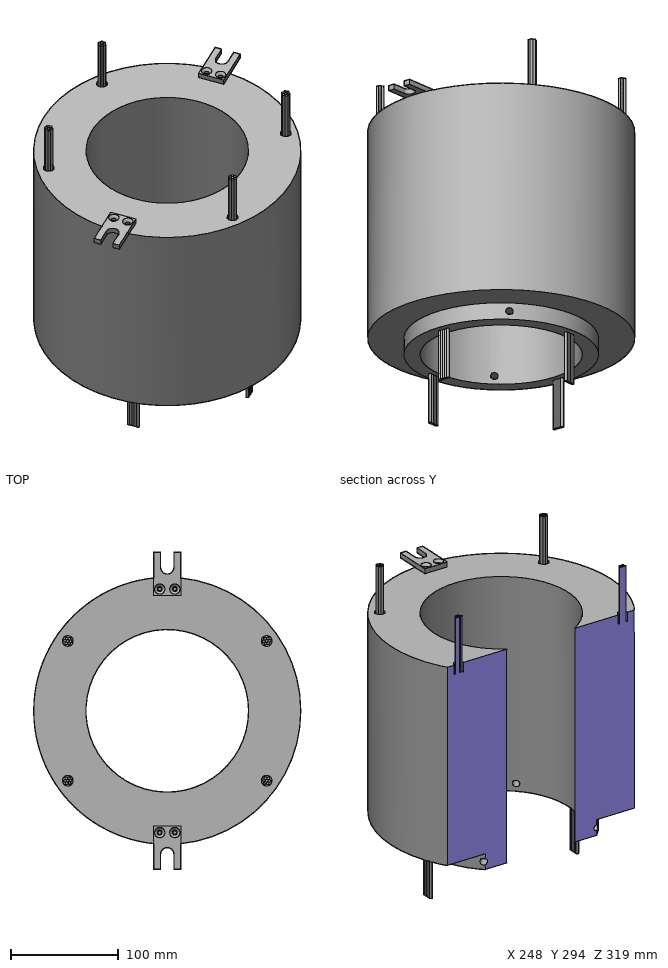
import cadquery as cq
import math

overall_height = 319.0

body_diameter = 248.0
collar_diameter = 180.5
bore_diameter = 150.5
lower_wire_length = 48.5
collar_height = 16.3
body_height = 205.8
collar_bottom_z = lower_wire_length
body_bottom_z = collar_bottom_z + collar_height
body_top_z = body_bottom_z + body_height

radial_hole_diameter = 6.7
radial_hole_angles = (45, 135, 225, 315)

lug_span = 294.0
lug_width = 25.2
lug_length = 40.2
lug_thickness = 5.0
lug_slot_width = 12.0
lug_slot_depth = 20.0
screw_spacing = 14.0
screw_edge_distance = 6.0
screw_hole_diameter = 4.5
countersink_diameter = 9.5
countersink_angle = 90

tapping_diameter = 3.2
tapping_depth = 9.5

wire_embedding = 3.2

bundle_wire_diameter = 2.5
bundle_wire_pitch = 2.6
outlet_diameter = 10.0
outlet_depth = 9.5
outlet_x = 92.2
outlet_y = 64.8
outer_wires_per_bundle = 6

ribbon_wires = 5
ribbon_wire_diameter = 3.0
ribbon_wire_pitch = 2.3
ribbon_radius = 82.3
ribbon_angles = (0, 90, 180, 270)


def make_body():
    """Coil body and collar with the bore running through both."""
    body = cq.Workplane("XY").workplane(offset=body_bottom_z).circle(body_diameter / 2).extrude(body_height)
    collar = cq.Workplane("XY").workplane(offset=collar_bottom_z).circle(collar_diameter / 2).extrude(collar_height)
    bore = cq.Workplane("XY").circle(bore_diameter / 2).extrude(overall_height)
    return body.union(collar).cut(bore)


def make_radial_hole(angle):
    """Cutter that runs outward from the axis through the collar wall."""
    cutter = (
        cq.Workplane("YZ")
        .center(0, collar_bottom_z + collar_height / 2)
        .circle(radial_hole_diameter / 2)
        .extrude(collar_diameter / 2 + radial_hole_diameter)
    )
    return cutter.rotate((0, 0, 0), (0, 0, 1), angle)


def lug_screw_points():
    """Centres of the two screws of the +Y lug."""
    screw_y = lug_span / 2 - lug_length + screw_edge_distance
    return [(-screw_spacing / 2, screw_y), (screw_spacing / 2, screw_y)]


def make_lug():
    """Lug at the +Y end, with an open round-ended slot and two countersunk screw holes."""
    outer_y = lug_span / 2
    slot_center_y = outer_y - lug_slot_depth + lug_slot_width / 2
    lug = (
        cq.Workplane("XY", origin=(0, 0, body_top_z))
        .center(0, outer_y - lug_length / 2)
        .rect(lug_width, lug_length)
        .extrude(lug_thickness)
    )
    slot = (
        cq.Workplane("XY", origin=(0, 0, body_top_z))
        .moveTo(lug_slot_width / 2, outer_y)
        .lineTo(lug_slot_width / 2, slot_center_y)
        .threePointArc((0, outer_y - lug_slot_depth), (-lug_slot_width / 2, slot_center_y))
        .lineTo(-lug_slot_width / 2, outer_y)
        .close()
        .extrude(lug_thickness)
    )
    return (
        lug.cut(slot)
        .faces(">Z")
        .workplane(origin=(0, 0, body_top_z + lug_thickness))
        .pushPoints(lug_screw_points())
        .cskHole(screw_hole_diameter, countersink_diameter, countersink_angle)
    )


def make_tapping_holes():
    """Cutters for the blind holes under the +Y lug."""
    return (
        cq.Workplane("XY", origin=(0, 0, body_top_z - tapping_depth))
        .pushPoints(lug_screw_points())
        .circle(tapping_diameter / 2)
        .extrude(tapping_depth)
    )


def make_outlet(x, y):
    """Cutter for a round wire outlet in the top face."""
    return (
        cq.Workplane("XY", origin=(x, y, body_top_z - outlet_depth))
        .circle(outlet_diameter / 2)
        .extrude(outlet_depth)
    )


def make_bundle(x, y):
    """Upper bundle: a middle wire in a ring of wires, turned to face the part's axis."""
    bottom_z = body_top_z - outlet_depth - wire_embedding
    length = overall_height - bottom_z
    tangent_angle = math.degrees(math.atan2(y, x)) + 90
    base = cq.Workplane("XY", origin=(x, y, bottom_z))
    middle = base.circle(bundle_wire_diameter / 2).extrude(length)
    ring = (
        base.polarArray(bundle_wire_pitch, tangent_angle, 360, outer_wires_per_bundle)
        .circle(bundle_wire_diameter / 2)
        .extrude(length)
    )
    return middle.union(ring)


def make_ribbon(angle):
    """Lower ribbon cable: a straight row of wires square to the radius at the given angle."""
    ribbon = (
        cq.Workplane("XY", origin=(ribbon_radius, 0, 0))
        .rarray(3.2, ribbon_wire_pitch, 1, ribbon_wires)
        .circle(ribbon_wire_diameter / 2)
        .extrude(lower_wire_length + wire_embedding)
    )
    return ribbon.rotate((0, 0, 0), (0, 0, 1), angle)


result = make_body()

for angle in radial_hole_angles:
    result = result.cut(make_radial_hole(angle))

lug = make_lug()
result = result.union(lug).union(lug.mirror("XZ"))

tapping_holes = make_tapping_holes()
result = result.cut(tapping_holes).cut(tapping_holes.mirror("XZ"))

for x in (-outlet_x, outlet_x):
    for y in (-outlet_y, outlet_y):
        result = result.cut(make_outlet(x, y)).union(make_bundle(x, y))

for angle in ribbon_angles:
    result = result.union(make_ribbon(angle))